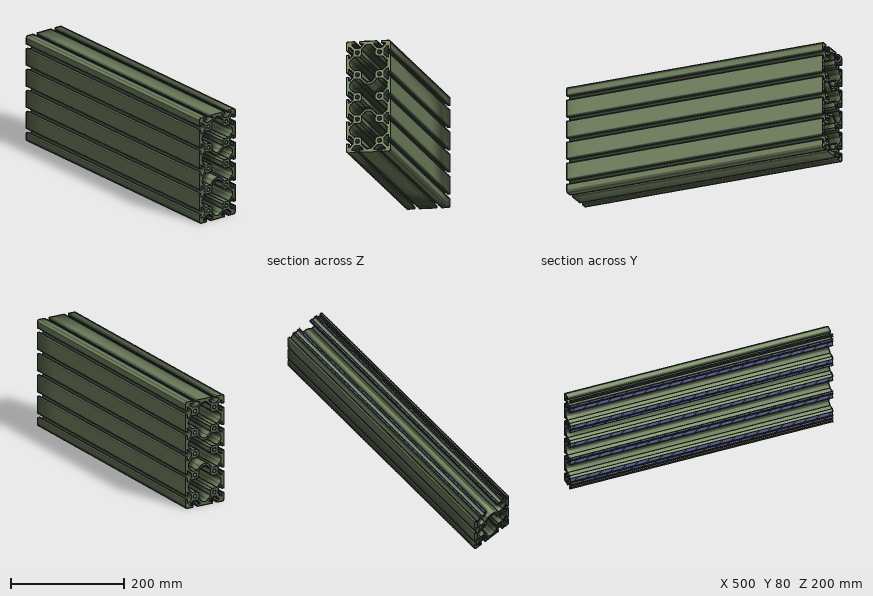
import cadquery as cq
import math

length = 500.0
width = 80.0
height = 200.0
corner_radius = 4.0

pitch = 40.0
boss_width = 15.5
boss_chamfer = 3.5
channel_radius = 3.4

slot_opening = 8.0
slot_width = 20.0
lip_thickness = 4.0
lip_radius = 1.5
floor_width = 8.0
floor_radius = 4.0

tip_wall = 6.0
tip_radius = 9.5
web_thickness = 4.0

overlap = 5.0

half_width = width / 2
half_height = height / 2
boss_half = boss_width / 2
slot_depth = pitch / 2 - boss_half
slope_angle = math.radians(45)
boss_ys = [-pitch / 2, pitch / 2]
boss_zs = [row * pitch for row in (-2, -1, 0, 1, 2)]
boss_centers = [(y, z) for y in boss_ys for z in boss_zs]
end_chamber_z = half_height - pitch
middle_star_z = pitch / 2


def section():
    """Sketch plane at the -X end; local x is Y and local y is Z."""
    return cq.Workplane("YZ", origin=(-length / 2, 0, 0))


def turn_and_place(body, angle, y, z):
    """Turn a body about the X axis, then move it to (y, z)."""
    return body.rotate((0, 0, 0), (1, 0, 0), angle).translate((0, y, z))


def slot_cutter():
    """T-slot cutter with its opening at the origin, running toward +Z."""
    half_opening = slot_opening / 2
    half_slot = slot_width / 2
    half_floor = floor_width / 2
    wall_end = slot_depth - (half_slot - half_floor)

    lip_edge = half_opening + lip_radius
    lip_shift = lip_radius * math.sin(slope_angle)
    lip_middle = (lip_edge - lip_shift, lip_radius - lip_shift)

    bend_tangent = floor_radius * math.tan(slope_angle / 2)
    bend_shift = bend_tangent * math.sin(slope_angle)
    floor_end = half_floor - bend_tangent
    bend_middle = (
        floor_end + floor_radius * math.sin(slope_angle / 2),
        slot_depth - floor_radius * (1 - math.cos(slope_angle / 2)),
    )

    half = (
        section()
        .moveTo(0, -overlap)
        .lineTo(lip_edge, -overlap)
        .lineTo(lip_edge, 0)
        .threePointArc(lip_middle, (half_opening, lip_radius))
        .lineTo(half_opening, lip_thickness)
        .lineTo(half_slot, lip_thickness)
        .lineTo(half_slot, wall_end)
        .lineTo(half_floor + bend_shift, slot_depth - bend_shift)
        .threePointArc(bend_middle, (floor_end, slot_depth))
        .lineTo(0, slot_depth)
        .close()
        .extrude(length)
    )
    return half.union(half.mirror("XZ"))


def arm(z, angle, offset=0.0):
    """Pointed arm with a rounded tip, starting on the axis at height z; offset grows it outward."""
    half_arm = pitch / 2
    radius = tip_radius + offset
    tip_center = half_width - tip_wall - tip_radius
    tangent = radius * math.sin(slope_angle)
    shoulder = tip_center + 2 * tangent - half_arm
    prism = (
        section()
        .moveTo(-half_arm, 0)
        .lineTo(-half_arm, shoulder)
        .lineTo(-tangent, tip_center + tangent)
        .threePointArc((0, tip_center + radius), (tangent, tip_center + tangent))
        .lineTo(half_arm, shoulder)
        .lineTo(half_arm, 0)
        .close()
        .extrude(length)
    )
    return turn_and_place(prism, angle, 0, z)


def star(z):
    """Hollow with four equal arms along +Z, -Y, -Z and +Y."""
    hollow = arm(z, 0)
    for angle in (90, 180, 270):
        hollow = hollow.union(arm(z, angle))
    return hollow


def boss(y, z):
    """Square boss with its two corners nearest the Z axis chamfered."""
    inward = -math.copysign(1, y)
    outer_y = y - inward * boss_half
    inner_y = y + inward * boss_half
    chamfer_y = inner_y - inward * boss_chamfer
    bottom = z - boss_half
    top = z + boss_half
    points = [
        (outer_y, bottom),
        (chamfer_y, bottom),
        (inner_y, bottom + boss_chamfer),
        (inner_y, top - boss_chamfer),
        (chamfer_y, top),
        (outer_y, top),
    ]
    return section().polyline(points).close().extrude(length)


block = section().rect(width, height).extrude(length).edges("|X").fillet(corner_radius)

end_chambers = star(end_chamber_z).union(star(-end_chamber_z))
middle_chamber = (
    star(middle_star_z)
    .union(star(-middle_star_z))
    .cut(arm(end_chamber_z, 180, web_thickness))
    .cut(arm(-end_chamber_z, 0, web_thickness))
)
chambers = end_chambers.union(middle_chamber)
for center_y, center_z in boss_centers:
    chambers = chambers.cut(boss(center_y, center_z))
profile = block.cut(chambers)

cutter = slot_cutter()
for slot_z in boss_zs:
    profile = profile.cut(turn_and_place(cutter, 90, half_width, slot_z))
    profile = profile.cut(turn_and_place(cutter, -90, -half_width, slot_z))
for slot_y in boss_ys:
    profile = profile.cut(turn_and_place(cutter, 0, slot_y, -half_height))
    profile = profile.cut(turn_and_place(cutter, 180, slot_y, half_height))

channels = section().pushPoints(boss_centers).circle(channel_radius).extrude(length)
result = profile.cut(channels)